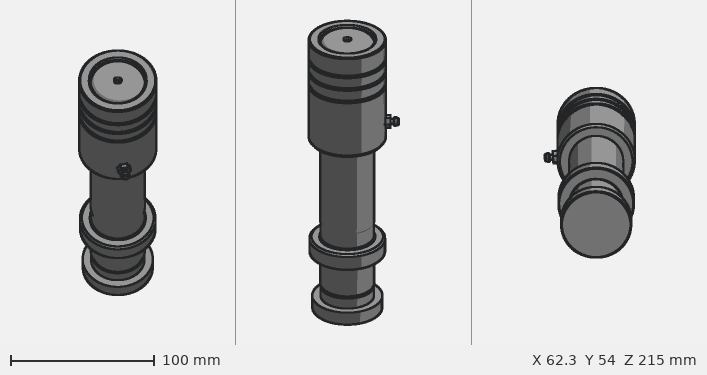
import cadquery as cq
import math

TOTAL_HEIGHT = 215.0

CAP_DISC_RADIUS = 49.0 / 2
CAP_DISC_HEIGHT = 10.0
CAP_DISC_CHAMFER = 0.6
CAP_BOSS_RADIUS = 37.5 / 2
CAP_TOP = 18.0

PILLAR_RADIUS = 37.8 / 2
PILLAR_TOP_FILLET = 4.0
PILLAR_END_CHAMFER_HEIGHT = 2.0
PILLAR_END_CHAMFER_WIDTH = 1.0
RELIEF_RADIUS = 18.7
RELIEF_TOP = 69.9
RELIEF_STEP_HEIGHT = 0.9
COLLAR_RADIUS = 52.9 / 2
COLLAR_BOTTOM = 45.0
COLLAR_TOP = 57.2
COLLAR_TOP_CHAMFER = 1.5
COLLAR_BOTTOM_CHAMFER = 0.6
COLLAR_ROOT_CONE = 0.9
UNDERCUT_HEIGHT = 1.5
UNDERCUT_DEPTH = 0.6

CENTRE_HOLE_RADIUS = 1.5
CENTRE_HOLE_DEPTH = 4.3
DRILL_POINT_ANGLE = 120
COUNTERSINK_RADIUS = 2.8

BUSH_RADIUS = 54.0 / 2
BUSH_LENGTH = 80.0
BUSH_BOTTOM = TOTAL_HEIGHT - BUSH_LENGTH
BUSH_TOP_CHAMFER = 0.9
BUSH_BOTTOM_CHAMFER_HEIGHT = 2.2
BUSH_BOTTOM_CHAMFER_WIDTH = 1.7
BORE_CHAMFER = 1.3
GROOVE_COUNT = 3
GROOVE_FIRST_BELOW_TOP = 15.0
GROOVE_LAST_BELOW_TOP = 35.0
GROOVE_PITCH = (GROOVE_LAST_BELOW_TOP - GROOVE_FIRST_BELOW_TOP) / (GROOVE_COUNT - 1)
GROOVE_WIDTH = 2.2
GROOVE_DEPTH = 0.9

NIPPLE_HEIGHT = 149.9
NIPPLE_ANGLE = -15
HEX_SIDES = 6
HEX_ACROSS_FLATS = 8.0
HEX_START = 25.0
HEX_END = 30.0
NECK_RADIUS = 2.0
BULGE_RADIUS = 3.2
BULGE_START = 32.2
BULGE_MIDDLE = 33.1
TIP_SHOULDER = 35.0
TIP_SHOULDER_RADIUS = 2.5
TIP_END = 36.0
TIP_END_RADIUS = 2.0


def revolve_about_z(points):
    return cq.Workplane("XZ").polyline(points).close().revolve(360, (0, 0, 0), (0, 1, 0))


def make_cap():
    disc = cq.Workplane("XY").circle(CAP_DISC_RADIUS).extrude(CAP_DISC_HEIGHT)
    disc = disc.faces("<Z").chamfer(CAP_DISC_CHAMFER)
    boss = cq.Workplane("XY").circle(CAP_BOSS_RADIUS).extrude(CAP_TOP)
    return disc.union(boss)


def make_pillar():
    undercut_radius = PILLAR_RADIUS - UNDERCUT_DEPTH
    profile = (
        cq.Workplane("XZ")
        .moveTo(0, CAP_TOP)
        .lineTo(PILLAR_RADIUS - PILLAR_END_CHAMFER_WIDTH, CAP_TOP)
        .lineTo(PILLAR_RADIUS, CAP_TOP + PILLAR_END_CHAMFER_HEIGHT)
        .lineTo(PILLAR_RADIUS, COLLAR_BOTTOM - UNDERCUT_HEIGHT)
        .lineTo(undercut_radius, COLLAR_BOTTOM - UNDERCUT_HEIGHT)
        .lineTo(undercut_radius, COLLAR_BOTTOM)
        .lineTo(COLLAR_RADIUS - COLLAR_BOTTOM_CHAMFER, COLLAR_BOTTOM)
        .lineTo(COLLAR_RADIUS, COLLAR_BOTTOM + COLLAR_BOTTOM_CHAMFER)
        .lineTo(COLLAR_RADIUS, COLLAR_TOP - COLLAR_TOP_CHAMFER)
        .lineTo(COLLAR_RADIUS - COLLAR_TOP_CHAMFER, COLLAR_TOP)
        .lineTo(RELIEF_RADIUS + COLLAR_ROOT_CONE, COLLAR_TOP)
        .lineTo(RELIEF_RADIUS, COLLAR_TOP + COLLAR_ROOT_CONE)
        .lineTo(RELIEF_RADIUS, RELIEF_TOP - RELIEF_STEP_HEIGHT)
        .lineTo(PILLAR_RADIUS, RELIEF_TOP)
        .lineTo(PILLAR_RADIUS, TOTAL_HEIGHT)
        .lineTo(0, TOTAL_HEIGHT)
        .close()
    )
    pillar = profile.revolve(360, (0, 0, 0), (0, 1, 0))
    pillar = pillar.faces(">Z").edges().fillet(PILLAR_TOP_FILLET)
    return pillar.cut(make_centre_hole())


def make_centre_hole():
    point_depth = CENTRE_HOLE_RADIUS / math.tan(math.radians(DRILL_POINT_ANGLE / 2))
    countersink_depth = COUNTERSINK_RADIUS - CENTRE_HOLE_RADIUS
    return revolve_about_z([
        (0, TOTAL_HEIGHT),
        (COUNTERSINK_RADIUS, TOTAL_HEIGHT),
        (CENTRE_HOLE_RADIUS, TOTAL_HEIGHT - countersink_depth),
        (CENTRE_HOLE_RADIUS, TOTAL_HEIGHT - CENTRE_HOLE_DEPTH),
        (0, TOTAL_HEIGHT - CENTRE_HOLE_DEPTH - point_depth),
    ])


def make_groove(height):
    floor_radius = BUSH_RADIUS - GROOVE_DEPTH
    half_width = GROOVE_WIDTH / 2
    half_floor = half_width - GROOVE_DEPTH
    return revolve_about_z([
        (BUSH_RADIUS, height - half_width),
        (floor_radius, height - half_floor),
        (floor_radius, height + half_floor),
        (BUSH_RADIUS, height + half_width),
    ])


def make_bush(nipple):
    bush = revolve_about_z([
        (PILLAR_RADIUS, BUSH_BOTTOM),
        (BUSH_RADIUS - BUSH_BOTTOM_CHAMFER_WIDTH, BUSH_BOTTOM),
        (BUSH_RADIUS, BUSH_BOTTOM + BUSH_BOTTOM_CHAMFER_HEIGHT),
        (BUSH_RADIUS, TOTAL_HEIGHT - BUSH_TOP_CHAMFER),
        (BUSH_RADIUS - BUSH_TOP_CHAMFER, TOTAL_HEIGHT),
        (PILLAR_RADIUS + BORE_CHAMFER, TOTAL_HEIGHT),
        (PILLAR_RADIUS, TOTAL_HEIGHT - BORE_CHAMFER),
    ])
    for index in range(GROOVE_COUNT):
        height = TOTAL_HEIGHT - GROOVE_FIRST_BELOW_TOP - index * GROOVE_PITCH
        bush = bush.cut(make_groove(height))
    return bush.cut(nipple)


def make_nipple():
    across_corners = HEX_ACROSS_FLATS / math.cos(math.pi / HEX_SIDES)
    hexagon = (
        cq.Workplane("YZ", origin=(HEX_START, 0, 0))
        .polygon(HEX_SIDES, across_corners)
        .extrude(HEX_END - HEX_START)
    )
    head = (
        cq.Workplane("XY")
        .polyline([
            (HEX_START, 0),
            (HEX_START, NECK_RADIUS),
            (BULGE_START, NECK_RADIUS),
            (BULGE_MIDDLE, BULGE_RADIUS),
            (TIP_SHOULDER, TIP_SHOULDER_RADIUS),
            (TIP_END, TIP_END_RADIUS),
            (TIP_END, 0),
        ])
        .close()
        .revolve(360, (0, 0, 0), (1, 0, 0))
    )
    nipple = hexagon.union(head)
    return nipple.rotate((0, 0, 0), (0, 0, 1), NIPPLE_ANGLE).translate((0, 0, NIPPLE_HEIGHT))


cap = make_cap()
pillar = make_pillar()
nipple = make_nipple()
bush = make_bush(nipple)

result = cq.Compound.makeCompound([cap.val(), pillar.val(), bush.val(), nipple.val()])